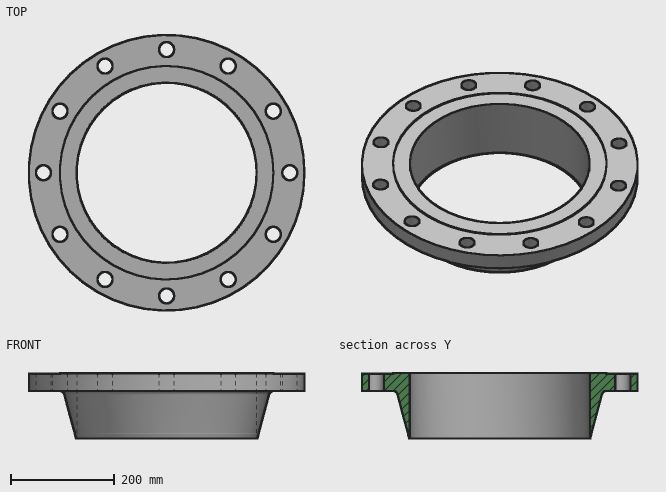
import cadquery as cq

flange_diameter = 533.4
overall_height = 127.0
flange_thickness = 35.0
raised_face_diameter = 412.8
raised_face_height = 1.6

hub_base_diameter = 400.0
hub_root_fillet = 9.5
weld_end_diameter = 355.6
weld_bevel_height = 8.0
weld_collar_length = 1.5
weld_land = 1.6
bore_diameter = 347.6

bolt_count = 12
bolt_circle_diameter = 476.3
bolt_hole_diameter = 28.6

flange_radius = flange_diameter / 2
raised_face_radius = raised_face_diameter / 2
hub_base_radius = hub_base_diameter / 2
weld_end_radius = weld_end_diameter / 2
bore_radius = bore_diameter / 2
land_radius = bore_radius + weld_land

top_level = overall_height
shoulder_level = top_level - raised_face_height
flange_back_level = top_level - flange_thickness
hub_end_level = weld_bevel_height + weld_collar_length


def make_body():
    """Flange, raised face and hub, revolved about Z, with the bore left open."""
    profile = (
        cq.Workplane("XZ")
        .moveTo(bore_radius, 0)
        .lineTo(land_radius, 0)
        .lineTo(weld_end_radius, weld_bevel_height)
        .lineTo(weld_end_radius, hub_end_level)
        .lineTo(hub_base_radius, flange_back_level)
        .lineTo(flange_radius, flange_back_level)
        .lineTo(flange_radius, shoulder_level)
        .lineTo(raised_face_radius, shoulder_level)
        .lineTo(raised_face_radius, top_level)
        .lineTo(bore_radius, top_level)
        .close()
    )
    return profile.revolve(360, (0, 0, 0), (0, 1, 0))


def fillet_hub_root(body):
    """Round the inside corner between the hub cone and the flange back."""
    hub_root = cq.selectors.RadiusNthSelector(-3)
    return body.edges("%CIRCLE").edges(hub_root).fillet(hub_root_fillet)


def make_bolt_holes():
    """Cylinders to cut through the flange, the first one on the +X axis."""
    return (
        cq.Workplane("XY")
        .workplane(offset=flange_back_level)
        .polarArray(bolt_circle_diameter / 2, 0, 360, bolt_count)
        .circle(bolt_hole_diameter / 2)
        .extrude(flange_thickness)
    )


result = fillet_hub_root(make_body()).cut(make_bolt_holes())